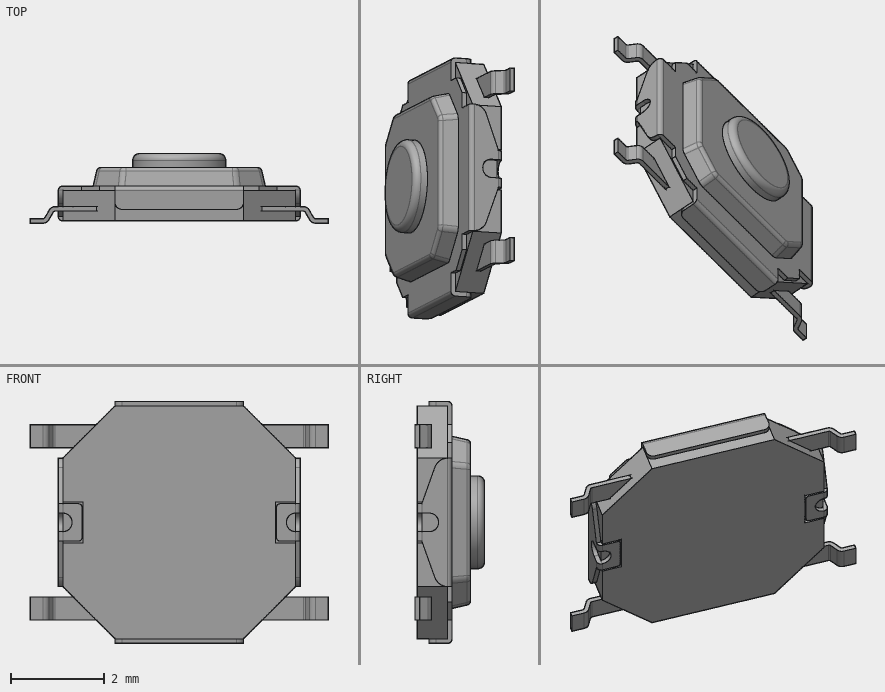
import cadquery as cq
import math


base_half = 2.5
side_half = 1.38
base_bottom = 0.05
base_top = 0.7
sheet = 0.1

cover_half = base_half + sheet
cover_top = base_top + sheet
relief_depth_at = 2.1
relief_corner_at = 1.71

plain_flange_end = 0.3
plain_flange_corner = 0.15

bend_radius = sheet
tab_half = 0.4
tab_tip = 2.09
tab_corner = 0.07
shoulder_y = 0.5
shoulder_radius = 0.3
slot_radius = 0.2
slot_top_centre = 0.31
recess_half = 0.44
recess_end = 2.065

platform_half = 1.85
platform_side_half = 1.25
platform_top = 1.2
platform_taper = 13
platform_corner_radius = 0.2
platform_rim_radius = 0.1

button_radius = 1.0
button_top = 1.5
button_rim_radius = 0.15

pin_tip = 3.2
pin_root = 1.5
pin_centre_z = 1.85
pin_width = 0.5
shelf_bottom = 0.26
slope_angle = 60
foot_bend = 2.87
pin_inner_radius = 0.05
pin_outer_radius = pin_inner_radius + sheet


def octagon(y, half, straight_half):
    corners = [
        (half, straight_half), (straight_half, half), (-straight_half, half), (-half, straight_half),
        (-half, -straight_half), (-straight_half, -half), (straight_half, -half), (half, -straight_half),
    ]
    return cq.Workplane("ZX", origin=(0, y, 0)).polyline(corners).close()


def opposite_pair(body):
    """The body together with its copy turned half way round the Y axis."""
    return [body, body.rotate((0, 0, 0), (0, 1, 0), 180)]


def make_pin():
    shelf_bend = foot_bend - shelf_bottom / math.tan(math.radians(slope_angle))
    miter = sheet / 2 * math.tan(math.radians(slope_angle / 2))
    foot_under = (foot_bend - miter, 0)
    foot_over = (foot_bend + miter, sheet)
    shelf_under = (shelf_bend - miter, shelf_bottom)
    shelf_over = (shelf_bend + miter, shelf_bottom + sheet)
    outline = [
        (pin_tip, 0), foot_under, shelf_under, (pin_root, shelf_bottom),
        (pin_root, shelf_bottom + sheet), shelf_over, foot_over, (pin_tip, sheet),
    ]
    pin = cq.Workplane("XY").polyline(outline).close().extrude(pin_width / 2, both=True)
    bends = [
        (foot_under, pin_outer_radius), (shelf_over, pin_outer_radius),
        (foot_over, pin_inner_radius), (shelf_under, pin_inner_radius),
    ]
    for (x, y), radius in bends:
        pin = pin.edges(cq.selectors.NearestToPointSelector((x, y, 0))).fillet(radius)
    return pin


pins = []
for z in (-pin_centre_z, pin_centre_z):
    pins += opposite_pair(make_pin().translate((0, 0, z)))


def make_tab_recess():
    recess = cq.Workplane("XY").box(
        base_half - recess_end, sheet, 2 * recess_half, centered=(False, False, True)
    )
    return recess.translate((recess_end, base_bottom, 0))


base = octagon(base_bottom, base_half, side_half).extrude(base_top - base_bottom)
for recess in opposite_pair(make_tab_recess()):
    base = base.cut(recess)
for pin in pins:
    base = base.cut(pin)


def make_plate():
    """Flat top with stepped corners, reaching the inner faces of the flanges."""
    corner = [
        (base_half, side_half), (relief_depth_at, side_half), (relief_depth_at, relief_corner_at),
        (relief_corner_at, relief_depth_at), (side_half, relief_depth_at), (side_half, base_half),
    ]
    mirrored = [(-z, x) for z, x in reversed(corner)]
    outline = corner + mirrored + [(-z, -x) for z, x in corner + mirrored]
    return cq.Workplane("ZX", origin=(0, base_top, 0)).polyline(outline).close().extrude(sheet)


def make_plain_flange():
    """Sheet folded down the +Z side."""
    fold = [
        (cover_top, relief_depth_at), (cover_top, cover_half), (plain_flange_end, cover_half),
        (plain_flange_end, base_half), (base_top, base_half), (base_top, relief_depth_at),
    ]
    flange = cq.Workplane("YZ").polyline(fold).close().extrude(side_half, both=True)
    flange = flange.edges("|Z and <Y").fillet(plain_flange_corner)
    return flange.edges("|X and >Y and >Z").fillet(bend_radius)


def make_clip_flange():
    """Sheet folded down the +X side and in under the base, trimmed to a tapering outline."""
    fold = [
        (relief_depth_at, cover_top), (cover_half, cover_top), (cover_half, base_bottom),
        (tab_tip, base_bottom), (tab_tip, base_bottom + sheet), (base_half, base_bottom + sheet),
        (base_half, base_top), (relief_depth_at, base_top),
    ]
    strip = cq.Workplane("XY").polyline(fold).close().extrude(side_half, both=True)
    strip = strip.edges("|Z and >X").fillet(bend_radius)

    taper_end = base_bottom + bend_radius
    trim_outline = [
        (cover_top, side_half), (shoulder_y, side_half), (taper_end, tab_half), (base_bottom, tab_half),
        (base_bottom, -tab_half), (taper_end, -tab_half), (shoulder_y, -side_half), (cover_top, -side_half),
    ]
    trim = cq.Workplane("YZ").polyline(trim_outline).close().extrude(cover_half)
    for side in (-1, 1):
        shoulder = cq.selectors.NearestToPointSelector((cover_half / 2, shoulder_y, side * side_half))
        trim = trim.edges(shoulder).fillet(shoulder_radius)
    flange = strip.intersect(trim)
    flange = flange.edges("|Y and <X").fillet(tab_corner)

    slot_side = cq.Workplane("YZ", origin=(base_half, 0, 0)).center(slot_top_centre, 0).circle(slot_radius)
    slot_side = slot_side.extrude(sheet)
    slot_wrap = cq.Workplane("XY").box(
        sheet, slot_top_centre - base_bottom, 2 * slot_radius, centered=(False, False, True)
    )
    slot_wrap = slot_wrap.translate((base_half, base_bottom, 0))
    slot_under = cq.Workplane("ZX", origin=(0, base_bottom, 0)).center(0, base_half).circle(slot_radius)
    slot_under = slot_under.extrude(sheet)
    return flange.cut(slot_side).cut(slot_wrap).cut(slot_under)


def make_platform():
    platform = octagon(cover_top, platform_half, platform_side_half)
    platform = platform.extrude(platform_top - cover_top, taper=platform_taper)
    platform = platform.edges("not #Y").fillet(platform_corner_radius)
    return platform.faces(">Y").edges().fillet(platform_rim_radius)


cover = make_plate().union(make_platform())
for flange in opposite_pair(make_plain_flange()) + opposite_pair(make_clip_flange()):
    cover = cover.union(flange)

button = cq.Workplane("ZX", origin=(0, platform_top, 0)).circle(button_radius)
button = button.extrude(button_top - platform_top)
button = button.faces(">Y").edges().fillet(button_rim_radius)

bodies = [base, cover, button] + pins
result = cq.Compound.makeCompound([body.solids().val() for body in bodies])